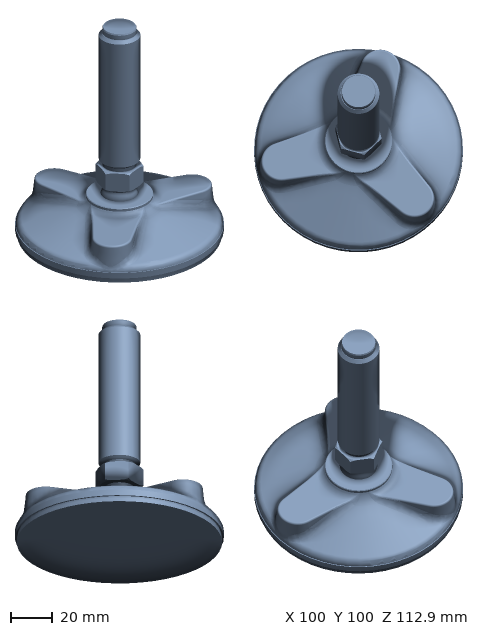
import cadquery as cq
import math

HEIGHT = 112.9

PAD_RADIUS = 49.1
PAD_TOP = 2.7
RIM_RADIUS = 50.0
RIM_TOP = 5.8
SHOULDER_RADIUS = 49.7
SHOULDER_ROUNDING = 4.0
SHOULDER_CORNER_HEIGHT = 8.2
CONE_SLOPE = math.radians(16.7)

COLLAR_RADIUS = 16.1
COLLAR_BOTTOM = 20.8
COLLAR_TOP = 22.4
COLLAR_CHAMFER = 0.3
FLANK_ROUNDING = 8.4
FLANK_FOOT_RADIUS = 21.0
FLANK_ARM_RADIUS = 19.8

ARM_COUNT = 3
FIRST_ARM_ANGLE = 90.0
ARM_TOP = 18.9
ARM_BASE = 3.4
ARM_TIP_CENTER = 38.2
ARM_TIP_RADIUS = 9.5
ARM_FLARE = math.radians(6.1)
ARM_DRAFT = 6.5
ARM_EDGE_FILLET = 1.0
ARM_FOOT_FILLET = 4.0
BLANK_TOP = 28.2

BALL_RADIUS = 9.3
STEM_RADIUS = 7.2
STEM_BOTTOM = 26.1

HEX_ACROSS_FLATS = 20.0
HEX_BOTTOM = 28.2
HEX_TOP = 38.0
HEX_CHAMFER_RADIUS = 10.4
HEX_CHAMFER_HEIGHT = 0.7

STUD_RADIUS = HEX_ACROSS_FLATS / 2
STUD_CHAMFER = 1.5
NECK_RADIUS = 8.2
NECK_TOP = 39.8
PILOT_RADIUS = NECK_RADIUS
PILOT_LENGTH = 3.0
PILOT_CHAMFER_WIDTH = 0.3
PILOT_CHAMFER_HEIGHT = 0.7


def cone_height(radius):
    """Height of the conical top face at a given radius."""
    return SHOULDER_CORNER_HEIGHT + (SHOULDER_RADIUS - radius) * math.tan(CONE_SLOPE)


def cylinder(radius, bottom, top):
    return cq.Workplane("XY").workplane(offset=bottom).circle(radius).extrude(top - bottom)


def revolve(profile):
    """Turn a (radius, height) profile around the Z axis."""
    return profile.close().revolve(360, (0, 0, 0), (0, 1, 0))


def make_plate_blank():
    """Conical plate whose collar flank carries on upward as a plain post."""
    tangent_length = SHOULDER_ROUNDING * math.tan((math.pi / 2 - CONE_SLOPE) / 2)
    shoulder_start = (SHOULDER_RADIUS, SHOULDER_CORNER_HEIGHT - tangent_length)
    shoulder_end_radius = SHOULDER_RADIUS - tangent_length * math.cos(CONE_SLOPE)
    flank_end = (
        FLANK_FOOT_RADIUS - FLANK_ROUNDING * (1 - math.sin(CONE_SLOPE)),
        cone_height(FLANK_FOOT_RADIUS) + FLANK_ROUNDING * math.cos(CONE_SLOPE),
    )
    return revolve(
        cq.Workplane("XZ")
        .moveTo(0, PAD_TOP)
        .lineTo(SHOULDER_RADIUS, PAD_TOP)
        .lineTo(*shoulder_start)
        .tangentArcPoint((shoulder_end_radius, cone_height(shoulder_end_radius)), relative=False)
        .lineTo(FLANK_FOOT_RADIUS, cone_height(FLANK_FOOT_RADIUS))
        .tangentArcPoint(flank_end, relative=False)
        .lineTo(flank_end[0], BLANK_TOP)
        .lineTo(0, BLANK_TOP)
    )


def make_arm_blank():
    """Tall drafted arm along +X with a round tip and flared sides."""
    tip_radius = ARM_TIP_RADIUS - (BLANK_TOP - ARM_TOP) * math.tan(math.radians(ARM_DRAFT))
    tangent_x = ARM_TIP_CENTER + tip_radius * math.sin(ARM_FLARE)
    tangent_y = tip_radius * math.cos(ARM_FLARE)
    root_y = tangent_y + tangent_x * math.tan(ARM_FLARE)
    return (
        cq.Workplane("XY")
        .workplane(offset=BLANK_TOP)
        .moveTo(0, -root_y)
        .lineTo(tangent_x, -tangent_y)
        .threePointArc((ARM_TIP_CENTER + tip_radius, 0), (tangent_x, tangent_y))
        .lineTo(0, root_y)
        .close()
        .extrude(ARM_BASE - BLANK_TOP, taper=-ARM_DRAFT)
    )


def make_trim():
    """Everything to remove above the arm tops and the collar flank."""
    return revolve(
        cq.Workplane("XZ")
        .moveTo(RIM_RADIUS, ARM_TOP)
        .lineTo(FLANK_ARM_RADIUS, ARM_TOP)
        .tangentArcPoint((COLLAR_RADIUS, COLLAR_BOTTOM), relative=False)
        .lineTo(0, COLLAR_BOTTOM)
        .lineTo(0, BLANK_TOP)
        .lineTo(RIM_RADIUS, BLANK_TOP)
    )


def fillet_arm_tips(body, height, fillet):
    """Fillet the edge chain that passes each arm tip at about the given height."""
    tip_distance = ARM_TIP_CENTER + ARM_TIP_RADIUS
    for angle in arm_angles:
        direction = math.radians(angle)
        tip = (tip_distance * math.cos(direction), tip_distance * math.sin(direction), height)
        body = body.edges(cq.selectors.NearestToPointSelector(tip)).fillet(fillet)
    return body


def make_foot():
    foot = make_plate_blank()
    arm = make_arm_blank()
    for angle in arm_angles:
        foot = foot.union(arm.rotate((0, 0, 0), (0, 0, 1), angle))
    foot = fillet_arm_tips(foot, SHOULDER_CORNER_HEIGHT, ARM_FOOT_FILLET)
    foot = foot.cut(make_trim())
    foot = fillet_arm_tips(foot, ARM_TOP, ARM_EDGE_FILLET)

    pad = cylinder(PAD_RADIUS, 0, PAD_TOP)
    rim = cylinder(RIM_RADIUS, PAD_TOP, RIM_TOP)
    collar = cylinder(COLLAR_RADIUS, COLLAR_BOTTOM, COLLAR_TOP).faces(">Z").chamfer(COLLAR_CHAMFER)
    return foot.union(rim).union(pad).union(collar)


def make_ball_stem():
    ball_center = STEM_BOTTOM - math.sqrt(BALL_RADIUS**2 - STEM_RADIUS**2)
    ball = cq.Workplane("XY").sphere(BALL_RADIUS).translate((0, 0, ball_center))
    return ball.union(cylinder(STEM_RADIUS, ball_center, HEX_BOTTOM))


def make_hexagon():
    corner_radius = HEX_ACROSS_FLATS / math.sqrt(3)
    prism = (
        cq.Workplane("XY")
        .workplane(offset=HEX_BOTTOM)
        .polygon(6, 2 * corner_radius)
        .extrude(HEX_TOP - HEX_BOTTOM)
    )
    envelope = revolve(
        cq.Workplane("XZ")
        .moveTo(0, HEX_BOTTOM)
        .lineTo(HEX_CHAMFER_RADIUS, HEX_BOTTOM)
        .lineTo(corner_radius, HEX_BOTTOM + HEX_CHAMFER_HEIGHT)
        .lineTo(corner_radius, HEX_TOP - HEX_CHAMFER_HEIGHT)
        .lineTo(HEX_CHAMFER_RADIUS, HEX_TOP)
        .lineTo(0, HEX_TOP)
    )
    return prism.intersect(envelope)


def make_stud():
    shoulder = HEIGHT - PILOT_LENGTH
    return revolve(
        cq.Workplane("XZ")
        .moveTo(0, HEX_TOP)
        .lineTo(NECK_RADIUS, HEX_TOP)
        .lineTo(NECK_RADIUS, NECK_TOP)
        .lineTo(STUD_RADIUS, NECK_TOP + STUD_CHAMFER)
        .lineTo(STUD_RADIUS, shoulder - STUD_CHAMFER)
        .lineTo(STUD_RADIUS - STUD_CHAMFER, shoulder)
        .lineTo(PILOT_RADIUS, shoulder)
        .lineTo(PILOT_RADIUS, HEIGHT - PILOT_CHAMFER_HEIGHT)
        .lineTo(PILOT_RADIUS - PILOT_CHAMFER_WIDTH, HEIGHT)
        .lineTo(0, HEIGHT)
    )


arm_angles = [FIRST_ARM_ANGLE + index * 360 / ARM_COUNT for index in range(ARM_COUNT)]

result = make_foot().union(make_ball_stem()).union(make_hexagon()).union(make_stud())